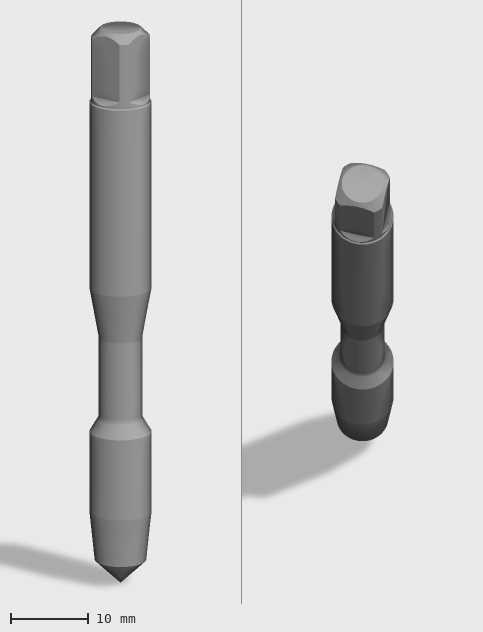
import cadquery as cq
import math

length = 75.0
body_diameter = 8.0
neck_diameter = 5.6
drive_diameter = 7.65
across_flats = 6.2
drive_top_diameter = 5.3

point_height = 3.15
lead_top = 9.7
thread_top = 20.0
collar_top = 20.5
neck_bottom = 22.5
neck_top = 33.2
taper_top = 39.9
shoulder_height = 65.0
flat_bottom = 66.1
lead_end_diameter = 6.7

body_radius = body_diameter / 2
neck_radius = neck_diameter / 2
drive_radius = drive_diameter / 2
drive_top_radius = drive_top_diameter / 2
half_flats = across_flats / 2
lead_end_radius = lead_end_diameter / 2
drive_chamfer = drive_radius - drive_top_radius
shoulder_chamfer = 0.15
run_out_angle = 45.0
neck_fillet = 1.0
selection_margin = 0.1


def revolve_profile(points):
    """Turn a closed (radius, height) outline about the Z axis."""
    return cq.Workplane("XZ").polyline(points).close().revolve(360, (0, 0), (0, 1))


def make_flat_cutter():
    """Side cutter for one flat, with a sloping run-out at its foot."""
    depth = (body_radius - half_flats) * math.tan(math.radians(run_out_angle))
    outline = [
        (half_flats, length),
        (half_flats, flat_bottom),
        (body_radius, flat_bottom - depth),
        (body_radius, length),
    ]
    return cq.Workplane("XZ").polyline(outline).close().extrude(body_radius, both=True)


def make_shank():
    """Shank with its conical ends, slim neck and square drive."""
    shank = revolve_profile([
        (0, thread_top),
        (body_radius, thread_top),
        (body_radius, collar_top),
        (neck_radius, neck_bottom),
        (neck_radius, neck_top),
        (body_radius, taper_top),
        (body_radius, shoulder_height),
        (drive_radius, shoulder_height + shoulder_chamfer),
        (drive_radius, length - drive_chamfer),
        (drive_top_radius, length),
        (0, length),
    ])
    for height in (neck_bottom, neck_top):
        corner_band = cq.selectors.BoxSelector(
            (-length, -length, height - selection_margin),
            (length, length, height + selection_margin),
        )
        shank = shank.edges("%CIRCLE").edges(corner_band).fillet(neck_fillet)
    flat_cutter = make_flat_cutter()
    for angle in (0, 90, 180, 270):
        shank = shank.cut(flat_cutter.rotate((0, 0, 0), (0, 0, 1), angle))
    return shank


def make_thread_section():
    """Plain thread envelope with a tapered lead and a conical point."""
    return revolve_profile([
        (0, 0),
        (lead_end_radius, point_height),
        (body_radius, lead_top),
        (body_radius, thread_top),
        (0, thread_top),
    ])


shank = make_shank()
thread_section = make_thread_section()
result = cq.Compound.makeCompound([shank.val(), thread_section.val()])